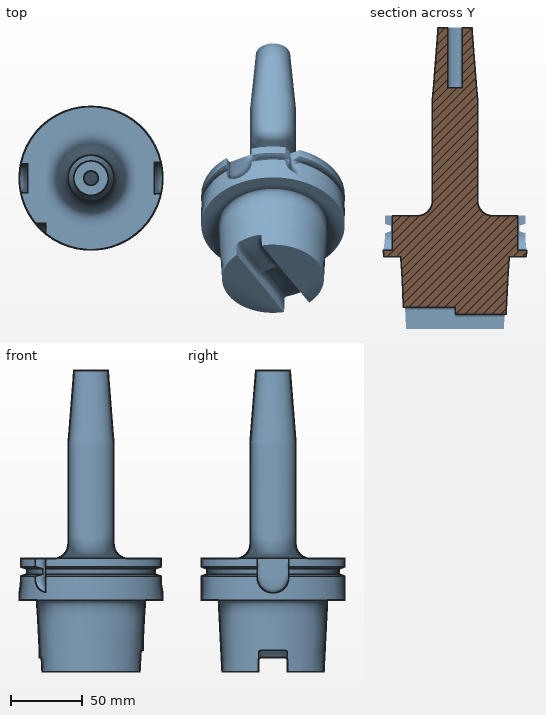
import cadquery as cq
import math

TOTAL_HEIGHT = 210.0

TAPER_LENGTH = 50.0
TAPER_TOP_DIAMETER = 76.0
TAPER_RATIO = 1 / 10
TAPER_BOTTOM_DIAMETER = TAPER_TOP_DIAMETER - TAPER_RATIO * TAPER_LENGTH

FLANGE_DIAMETER = 100.0
FLANGE_HEIGHT = 29.0
FLANGE_TOP = TAPER_LENGTH + FLANGE_HEIGHT

GROOVE_ROOT_DIAMETER = 92.0
GROOVE_RISE = 19.9
GROOVE_CENTRE = TAPER_LENGTH + GROOVE_RISE
GROOVE_ROOT_WIDTH = 3.75
GROOVE_MOUTH_WIDTH = 6.5

NOSE_DIAMETER = 32.0
NOSE_FILLET = 10.0
TIP_DIAMETER = 24.0
TIP_HALF_ANGLE = 4.5
TIP_CONE_LENGTH = (NOSE_DIAMETER - TIP_DIAMETER) / 2 / math.tan(math.radians(TIP_HALF_ANGLE))

BORE_DIAMETER = 10.0
BORE_DEPTH = 42.0

NARROW_SLOT_WIDTH = 20.0
WIDE_SLOT_WIDTH = 22.0
SLOT_FLOOR = 44.0
SLOT_BOTTOM_RISE = 5.0
SLOT_BOTTOM = TAPER_LENGTH + SLOT_BOTTOM_RISE

NOTCH_WALL = 31.5

DRIVE_SLOT_WIDTH = 20.0
DRIVE_SLOT_CORNER = 2.0
SHALLOW_DRIVE_DEPTH = 10.0
DEEP_DRIVE_DEPTH = 15.0


def make_body():
    """Revolved taper, flange and nose."""
    nose_radius = NOSE_DIAMETER / 2
    fillet_foot_radius = nose_radius + NOSE_FILLET
    diagonal = NOSE_FILLET * (1 - math.sqrt(0.5))
    profile = (
        cq.Workplane("YZ")
        .moveTo(0, 0)
        .lineTo(TAPER_BOTTOM_DIAMETER / 2, 0)
        .lineTo(TAPER_TOP_DIAMETER / 2, TAPER_LENGTH)
        .lineTo(FLANGE_DIAMETER / 2, TAPER_LENGTH)
        .lineTo(FLANGE_DIAMETER / 2, FLANGE_TOP)
        .lineTo(fillet_foot_radius, FLANGE_TOP)
        .threePointArc(
            (nose_radius + diagonal, FLANGE_TOP + diagonal),
            (nose_radius, FLANGE_TOP + NOSE_FILLET),
        )
        .lineTo(nose_radius, TOTAL_HEIGHT - TIP_CONE_LENGTH)
        .lineTo(TIP_DIAMETER / 2, TOTAL_HEIGHT)
        .lineTo(0, TOTAL_HEIGHT)
        .close()
    )
    return profile.revolve(360, (0, 0, 0), (0, 1, 0))


def make_groove():
    """Ring with sloping sides that cuts the gripper groove."""
    root = GROOVE_ROOT_DIAMETER / 2
    rim = FLANGE_DIAMETER / 2
    half_root = GROOVE_ROOT_WIDTH / 2
    half_mouth = GROOVE_MOUTH_WIDTH / 2
    profile = cq.Workplane("YZ").polyline(
        [
            (root, GROOVE_CENTRE - half_root),
            (rim, GROOVE_CENTRE - half_mouth),
            (rim, GROOVE_CENTRE + half_mouth),
            (root, GROOVE_CENTRE + half_root),
        ]
    ).close()
    return profile.revolve(360, (0, 0, 0), (0, 1, 0))


def make_bore():
    """Blind round bore from the tip downwards."""
    return (
        cq.Workplane("XY", origin=(0, 0, TOTAL_HEIGHT))
        .circle(BORE_DIAMETER / 2)
        .extrude(-BORE_DEPTH)
    )


def make_rim_slot(side, width, floor, centre_y=0.0):
    """Slot open to the flange top and outwards along X; side is -1 or +1."""
    radius = width / 2
    return (
        cq.Workplane("YZ", origin=(side * floor, 0, 0))
        .moveTo(centre_y - radius, FLANGE_TOP)
        .lineTo(centre_y - radius, SLOT_BOTTOM + radius)
        .threePointArc((centre_y, SLOT_BOTTOM), (centre_y + radius, SLOT_BOTTOM + radius))
        .lineTo(centre_y + radius, FLANGE_TOP)
        .close()
        .extrude(side * FLANGE_DIAMETER / 2)
    )


def make_drive_slot(side, depth):
    """Slot across the taper's lower end, from the axis outwards along X."""
    length = FLANGE_DIAMETER / 2
    return (
        cq.Workplane("XY")
        .box(length, DRIVE_SLOT_WIDTH, depth, centered=(True, True, False))
        .edges("|X and >Z")
        .fillet(DRIVE_SLOT_CORNER)
        .translate((side * length / 2, 0, 0))
    )


notch_centre_y = -(NOTCH_WALL + NARROW_SLOT_WIDTH / 2)

result = (
    make_body()
    .cut(make_groove())
    .cut(make_bore())
    .cut(make_rim_slot(-1, NARROW_SLOT_WIDTH, SLOT_FLOOR))
    .cut(make_rim_slot(1, WIDE_SLOT_WIDTH, SLOT_FLOOR))
    .cut(make_rim_slot(-1, NARROW_SLOT_WIDTH, NOTCH_WALL, notch_centre_y))
    .cut(make_drive_slot(-1, SHALLOW_DRIVE_DEPTH))
    .cut(make_drive_slot(1, DEEP_DRIVE_DEPTH))
)